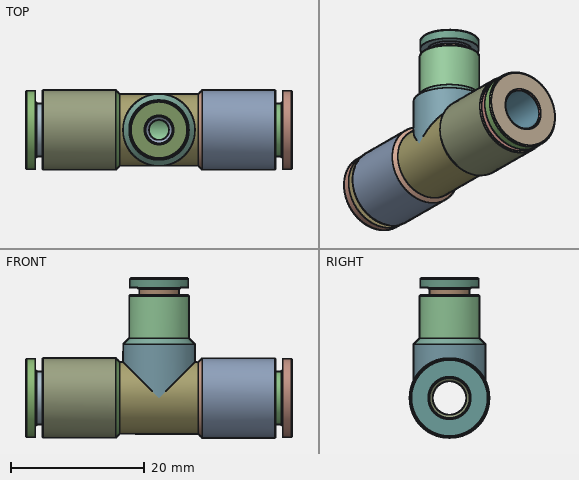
import cadquery as cq

run_end = 20.0
branch_end = 18.0
hub_diameter = 10.8

flange_thickness = 1.5
neck_flare = 0.25
flange_chamfer = 0.2
bore_chamfer = 0.2

run_body_diameter = 12.0
run_flange_diameter = 11.8
run_neck_diameter = 8.0
run_mouth_diameter = 6.0
run_bore_diameter = 5.0
run_body_setback = 2.5
run_body_chamfer = 0.2
run_shoulder_position = 5.9
run_tube_stop = 8.0

branch_body_diameter = 9.0
branch_flange_diameter = 8.8
branch_neck_diameter = 6.0
branch_mouth_diameter = 4.0
branch_bore_diameter = 3.0
branch_body_setback = 2.55
branch_body_chamfer = 0.15
branch_shoulder_position = 8.1
branch_tube_stop = 8.8


def port_body(end, flange_diameter, neck_diameter, body_diameter, setback, body_chamfer, shoulder_position):
    """Solid port along Z, from the tee centre to the release flange at its end."""
    hub_radius = hub_diameter / 2
    flange_radius = flange_diameter / 2
    neck_radius = neck_diameter / 2
    body_radius = body_diameter / 2
    flange_back = end - flange_thickness
    body_front = end - setback
    shoulder_end = shoulder_position + abs(body_radius - hub_radius)
    profile = [
        (0, 0),
        (hub_radius, 0),
        (hub_radius, shoulder_position),
        (body_radius, shoulder_end),
        (body_radius, body_front - body_chamfer),
        (body_radius - body_chamfer, body_front),
        (neck_radius, body_front),
        (neck_radius, flange_back - neck_flare),
        (neck_radius + neck_flare, flange_back),
        (flange_radius, flange_back),
        (flange_radius, end - flange_chamfer),
        (flange_radius - flange_chamfer, end),
        (0, end),
    ]
    return cq.Workplane("XZ").polyline(profile).close().revolve(360, (0, 0), (0, 1))


def port_bore(end, mouth_diameter, bore_diameter, taper_start):
    """Bore along Z that tapers from the chamfered mouth to the inner passage."""
    mouth_radius = mouth_diameter / 2
    bore_radius = bore_diameter / 2
    taper_end = taper_start - (mouth_radius - bore_radius)
    profile = [
        (0, 0),
        (bore_radius, 0),
        (bore_radius, taper_end),
        (mouth_radius, taper_start),
        (mouth_radius, end - bore_chamfer),
        (mouth_radius + bore_chamfer, end),
        (0, end),
    ]
    return cq.Workplane("XZ").polyline(profile).close().revolve(360, (0, 0), (0, 1))


def along_run(shape, side):
    """Turn a Z-axis shape onto the +X (side 1) or -X (side -1) direction."""
    return shape.rotate((0, 0, 0), (0, 1, 0), side * 90)


run_body = port_body(
    run_end, run_flange_diameter, run_neck_diameter, run_body_diameter,
    run_body_setback, run_body_chamfer, run_shoulder_position,
)
run_bore = port_bore(run_end, run_mouth_diameter, run_bore_diameter, run_tube_stop)
branch_body = port_body(
    branch_end, branch_flange_diameter, branch_neck_diameter, branch_body_diameter,
    branch_body_setback, branch_body_chamfer, branch_shoulder_position,
)
branch_bore = port_bore(branch_end, branch_mouth_diameter, branch_bore_diameter, branch_tube_stop)

tee = along_run(run_body, 1).union(along_run(run_body, -1)).union(branch_body)
for side in (1, -1):
    tee = tee.cut(along_run(run_bore, side))
result = tee.cut(branch_bore)